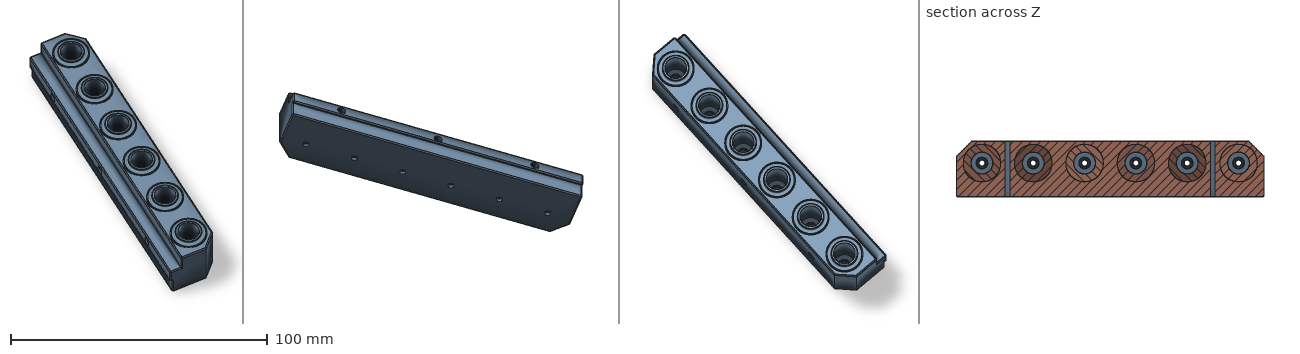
import cadquery as cq

length = 120.0
depth = 21.7
overall_height = 20.0
collar_height = 1.0
block_height = overall_height - collar_height
edge_break = 0.5

upper_setback = 4.9
ledge_top = 13.0
lip_bottom = 7.1
lip_overhang = 1.0
corner_cut = 6.0

socket_count = 6
socket_pitch = length / socket_count
socket_y = 13.2
socket_diameter = 14.4
socket_depth = 15.0
socket_floor = block_height - socket_depth
port_diameter = 2.3
port_counterbore_diameter = 4.1
port_counterbore_depth = 1.9
port_mouth_chamfer = 0.2

insert_bore_diameter = 8.4
insert_edge_chamfer = 0.45
collar_diameter = 10.5
collar_root_fillet = 0.5
collar_rim_chamfer = 0.25

cross_hole_diameter = 3.2
outer_hole_x = 2 * socket_pitch
outer_hole_z = 10.0
middle_hole_z = 9.4

socket_points = [
    ((i - (socket_count - 1) / 2) * socket_pitch, socket_y)
    for i in range(socket_count)
]
cross_hole_points = [
    (-outer_hole_x, outer_hole_z),
    (0, middle_hole_z),
    (outer_hole_x, outer_hole_z),
]


def is_broken_edge(edge):
    """True for every block edge but the inner corners of the step and the rear uprights."""
    center = edge.Center()
    box = edge.BoundingBox()
    tolerance = 0.001
    inner_corners = [(upper_setback, ledge_top), (lip_overhang, lip_bottom)]
    for y, z in inner_corners:
        if abs(center.y - y) < tolerance and abs(center.z - z) < tolerance:
            return False
    is_rear_upright = box.zlen > block_height - tolerance and center.y > depth / 2
    return not is_rear_upright


def make_bar():
    """Stepped bar with cut rear corners and broken outer edges."""
    profile = [
        (lip_overhang, 0),
        (lip_overhang, lip_bottom),
        (0, lip_bottom),
        (0, ledge_top),
        (upper_setback, ledge_top),
        (upper_setback, block_height),
        (depth, block_height),
        (depth, 0),
    ]
    bar = cq.Workplane("YZ").polyline(profile).close().extrude(length / 2, both=True)
    bar = bar.edges("|Z and >Y").chamfer(corner_cut)
    broken_edges = [edge for edge in bar.edges().vals() if is_broken_edge(edge)]
    return bar.newObject(broken_edges).chamfer(edge_break)


def chamfered_hole(diameter, depth_below):
    """Cutter with its mouth at Z = 0, going down, with a small chamfer around the mouth."""
    hole = cq.Workplane("XY").circle(diameter / 2).extrude(-depth_below)
    mouth = cq.Solid.makeCone(
        diameter / 2,
        diameter / 2 + port_mouth_chamfer,
        port_mouth_chamfer,
        cq.Vector(0, 0, -port_mouth_chamfer),
    )
    return hole.union(cq.Workplane(mouth))


def make_socket_cutter():
    """Socket, counterbore and port on one axis, with the base at Z = 0."""
    counterbore_floor = socket_floor - port_counterbore_depth
    socket = (
        cq.Workplane("XY")
        .workplane(offset=socket_floor)
        .circle(socket_diameter / 2)
        .extrude(socket_depth)
    )
    counterbore = chamfered_hole(port_counterbore_diameter, port_counterbore_depth)
    port = chamfered_hole(port_diameter, counterbore_floor)
    return (
        socket
        .union(counterbore.translate((0, 0, socket_floor)))
        .union(port.translate((0, 0, counterbore_floor)))
    )


def make_block():
    """Bar with sockets, stepped ports and cross holes."""
    cross_holes = (
        cq.Workplane("XZ")
        .pushPoints(cross_hole_points)
        .circle(cross_hole_diameter / 2)
        .extrude(-depth)
    )
    block = make_bar().cut(cross_holes)
    socket_cutter = make_socket_cutter()
    for x, y in socket_points:
        block = block.cut(socket_cutter.translate((x, y, 0)))
    return block


def make_insert(x, y):
    """Bored sleeve filling one socket, with a filleted collar on top."""
    sleeve = (
        cq.Workplane("XY")
        .circle(socket_diameter / 2)
        .extrude(socket_depth)
        .faces(">Z")
        .chamfer(insert_edge_chamfer)
    )
    collar = (
        cq.Workplane("XY")
        .workplane(offset=socket_depth)
        .circle(collar_diameter / 2)
        .extrude(collar_height)
    )
    insert = sleeve.union(collar)
    insert = insert.faces(">Z").edges().chamfer(collar_rim_chamfer)
    shoulder = insert.faces("|Z").faces(">Z[1]")
    insert = shoulder.edges(cq.selectors.RadiusNthSelector(0)).fillet(collar_root_fillet)
    insert = insert.faces(">Z").workplane().hole(insert_bore_diameter)
    return insert.translate((x, y, socket_floor))


block = make_block()
inserts = [make_insert(x, y) for x, y in socket_points]

result = cq.Compound.makeCompound([block.val(), *[insert.val() for insert in inserts]])